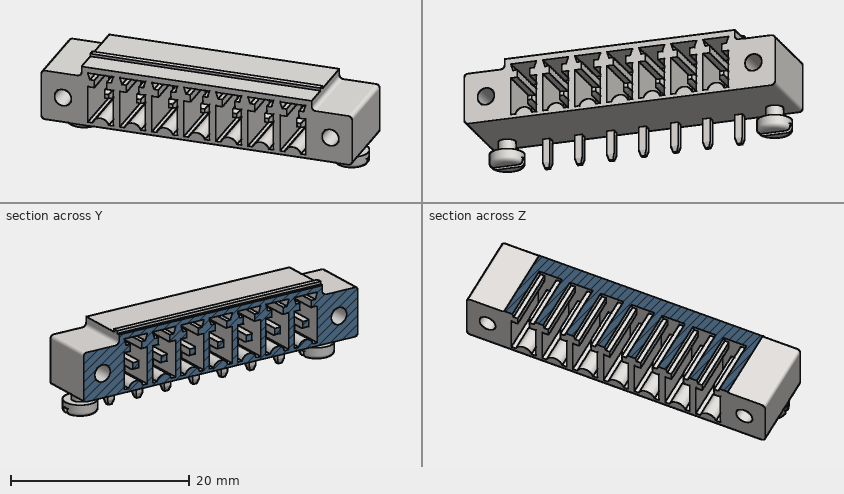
import cadquery as cq


length = 37.05
depth = 9.2
flange_height = 6.0
body_height = 7.2
raised_width = 27.42
corner_radius = 0.5
front_y = -depth / 2
back_y = depth / 2

axis_z = flange_height / 2

ridge_width = 0.65
ridge_height = 0.35
ridge_setback = 2.9

contact_count = 7
pitch = 3.8
cavity_depth = 7.0
cavity_width = 3.05
cavity_floor = 0.45
shoulder_height = 4.8
neck_width = 1.5
neck_top = 5.7
dovetail_base_width = 2.52
cavity_top = 6.5
floor_bump_width = 1.95
floor_bump_top = 1.15

pin_width = 0.9
pin_tip_width = 0.5
pin_taper = 0.63
pin_back_margin = 1.22
pin_tip_setback = 2.0
pin_bottom = -3.4
pin_leg_y = back_y - pin_back_margin

flange_axis_x = 15.95
shank_diameter = 2.0
flange_hole_depth = 5.0
screw_back_margin = 2.15
head_diameter = 4.0
head_top = -1.52
head_bottom = -3.0
head_edge_radius = 0.52
slot_width = 0.7
slot_depth = 0.8
screw_y = back_y - screw_back_margin


def make_housing():
    """Stepped block: a full-length base with a raised middle and a ridge on top."""
    base = (
        cq.Workplane("XY")
        .box(length, depth, flange_height, centered=(True, True, False))
        .edges("|Y")
        .fillet(corner_radius)
    )
    raised = cq.Workplane("XY").box(raised_width, depth, body_height, centered=(True, True, False))
    ridge = (
        cq.Workplane("XY", origin=(0, front_y + ridge_setback, body_height))
        .box(raised_width, ridge_width, ridge_height, centered=(True, False, False))
    )
    step_corners = cq.selectors.BoxSelector(
        (-length / 2, -depth, flange_height - corner_radius / 2),
        (length / 2, depth, flange_height + corner_radius / 2),
    )
    stepped = base.union(raised).edges("|Y").edges(step_corners).fillet(corner_radius)
    return stepped.union(ridge)


def make_cavity(x):
    """Front pocket with a dovetail keyway above and a rounded bump on its floor."""
    half = cavity_width / 2
    half_neck = neck_width / 2
    half_dovetail = dovetail_base_width / 2
    half_bump = floor_bump_width / 2
    return (
        cq.Workplane("XZ", origin=(x, front_y, 0))
        .moveTo(-half_bump, cavity_floor)
        .threePointArc((0, floor_bump_top), (half_bump, cavity_floor))
        .lineTo(half, cavity_floor)
        .lineTo(half, shoulder_height)
        .lineTo(half_neck, shoulder_height)
        .lineTo(half_neck, neck_top)
        .lineTo(half_dovetail, neck_top)
        .lineTo(half, cavity_top)
        .lineTo(-half, cavity_top)
        .lineTo(-half_dovetail, neck_top)
        .lineTo(-half_neck, neck_top)
        .lineTo(-half_neck, shoulder_height)
        .lineTo(-half, shoulder_height)
        .lineTo(-half, cavity_floor)
        .close()
        .extrude(-cavity_depth)
    )


def make_tapered_bar(plane, bar_length):
    """Square bar that starts at the plane with a tapered tip and runs along its normal."""
    tip = (
        cq.Workplane(plane)
        .rect(pin_tip_width, pin_tip_width)
        .workplane(offset=pin_taper)
        .rect(pin_width, pin_width)
        .loft(ruled=True)
    )
    shaft = (
        cq.Workplane(plane)
        .workplane(offset=pin_taper)
        .rect(pin_width, pin_width)
        .extrude(bar_length - pin_taper)
    )
    return tip.union(shaft)


def make_pin(x):
    """Right-angle pin: one arm faces the front, the other points down."""
    arm_tip_y = front_y + pin_tip_setback
    arm_plane = cq.Plane(origin=(x, arm_tip_y, axis_z), xDir=(1, 0, 0), normal=(0, 1, 0))
    leg_plane = cq.Plane(origin=(x, pin_leg_y, pin_bottom), xDir=(1, 0, 0), normal=(0, 0, 1))
    arm = make_tapered_bar(arm_plane, pin_leg_y + pin_width / 2 - arm_tip_y)
    leg = make_tapered_bar(leg_plane, axis_z + pin_width / 2 - pin_bottom)
    return arm.union(leg)


def make_flange_hole(x):
    """Blind round hole in the front face of a flange."""
    return (
        cq.Workplane("XZ", origin=(x, front_y, axis_z))
        .circle(shank_diameter / 2)
        .extrude(-flange_hole_depth)
    )


def make_screw(x):
    """Slotted screw below a flange, its shank rooted in the housing."""
    head = (
        cq.Workplane("XY", origin=(x, screw_y, head_bottom))
        .circle(head_diameter / 2)
        .extrude(head_top - head_bottom)
        .faces("<Z")
        .edges()
        .fillet(head_edge_radius)
    )
    slot = (
        cq.Workplane("XY", origin=(x, screw_y, head_bottom))
        .box(head_diameter, slot_width, slot_depth, centered=(True, True, False))
    )
    shank = (
        cq.Workplane("XY", origin=(x, screw_y, head_top))
        .circle(shank_diameter / 2)
        .extrude(axis_z - head_top)
    )
    return head.cut(slot).union(shank)


contact_positions = [(i - (contact_count - 1) / 2) * pitch for i in range(contact_count)]

result = make_housing()
for contact_x in contact_positions:
    result = result.cut(make_cavity(contact_x)).union(make_pin(contact_x))
for flange_x in (-flange_axis_x, flange_axis_x):
    result = result.cut(make_flange_hole(flange_x)).union(make_screw(flange_x))